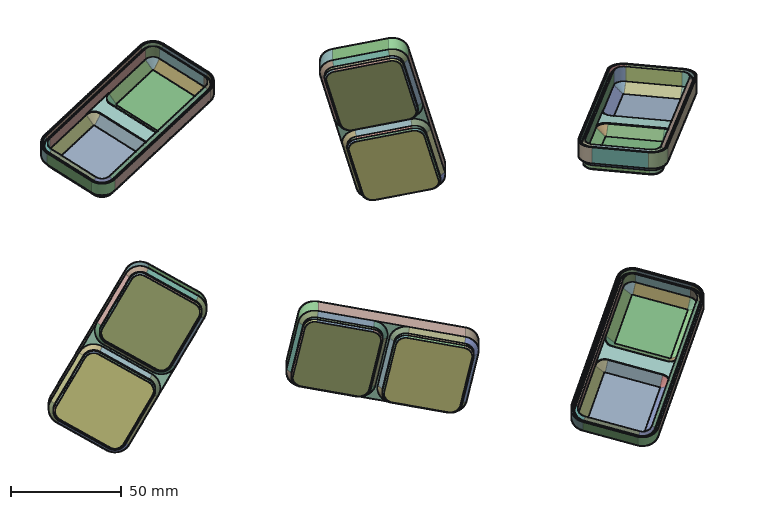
import cadquery as cq

length = 83.0
width = 41.0
height = 12.8
corner_radius = 7.55
pitch = length - width
cell_centres = (-pitch / 2, pitch / 2)

foot_chamfer = 0.8
foot_wall_height = 1.75
foot_flare = 2.15
foot_height = foot_chamfer + foot_wall_height + foot_flare

rim_thickness = 0.8
groove_floor_width = 0.8
ridge_slope_width = 1.4
ridge_slope_height = 1.7
groove_depth = 3.0
wall_thickness = rim_thickness + groove_floor_width + ridge_slope_width

web_thickness = 1.1
floor_thickness = 1.0
divider_height = foot_height + web_thickness
pocket_slope = 4.2
pocket_slope_top = floor_thickness + pocket_slope


def tapered_block(size_x, size_y, inset_low, inset_high, z_low, z_high, centre_y=0.0):
    """Round-cornered block whose sides are inset from the size by different amounts at each end."""

    def section(inset, z):
        return (
            cq.Sketch()
            .rect(size_x - 2 * inset, size_y - 2 * inset)
            .vertices()
            .fillet(corner_radius - inset)
            .moved(cq.Location(cq.Vector(0, centre_y, z)))
        )

    if inset_low == inset_high:
        return cq.Workplane("XY").placeSketch(section(inset_low, z_low)).extrude(z_high - z_low)
    sections = (section(inset_low, z_low), section(inset_high, z_high))
    return cq.Workplane("XY").placeSketch(*sections).loft(ruled=True)


def make_foot(centre_y):
    """Foot with a chamfered bottom edge, a straight wall and a flare out to the body."""
    wall_base = foot_chamfer
    wall_top = foot_chamfer + foot_wall_height
    bottom_inset = foot_flare + foot_chamfer
    chamfer = tapered_block(width, width, bottom_inset, foot_flare, 0, wall_base, centre_y)
    wall = tapered_block(width, width, foot_flare, foot_flare, wall_base, wall_top, centre_y)
    flare = tapered_block(width, width, foot_flare, 0, wall_top, foot_height, centre_y)
    return chamfer.union(wall).union(flare)


def make_pocket(centre_y):
    """Pocket sunk below the divider: a short upright edge over sloping sides."""
    edge = tapered_block(
        width, width, wall_thickness, wall_thickness, pocket_slope_top, divider_height, centre_y
    )
    floor_inset = wall_thickness + pocket_slope
    slopes = tapered_block(
        width, width, floor_inset, wall_thickness, floor_thickness, pocket_slope_top, centre_y
    )
    return edge.union(slopes)


def make_groove():
    """Ring around the top between the upright rim and a ridge with an upright foot and a sloping top."""
    groove_bottom = height - groove_depth
    slope_bottom = height - ridge_slope_height
    outer = tapered_block(width, length, rim_thickness, rim_thickness, groove_bottom, height)
    ridge_inset = rim_thickness + groove_floor_width
    ridge_foot = tapered_block(width, length, ridge_inset, ridge_inset, groove_bottom, slope_bottom)
    ridge_top = tapered_block(width, length, ridge_inset, wall_thickness, slope_bottom, height)
    return outer.cut(ridge_foot).cut(ridge_top)


result = tapered_block(width, length, 0, 0, foot_height, height)
for centre in cell_centres:
    result = result.union(make_foot(centre))

result = result.cut(tapered_block(width, length, wall_thickness, wall_thickness, divider_height, height))
for centre in cell_centres:
    result = result.cut(make_pocket(centre))

result = result.cut(make_groove())